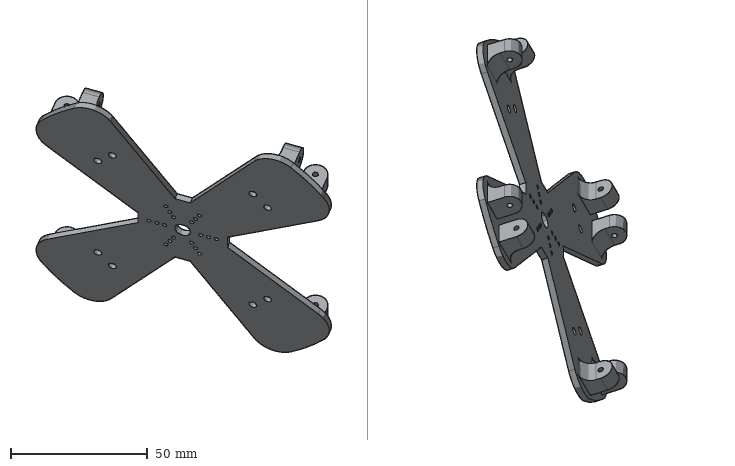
import cadquery as cq
import math

span = 113.4
plate_thickness = 2.5
hub_half_width = 17.4
hub_flat_half_length = 3.0
tip_corner_radius = 10.0
tip_corner_offset = 35.8
quarter_turns = [0, 90, 180, 270]
first_blade_angle = 45

bore_diameter = 6.0
pin_hole_diameter = 1.5
pin_hole_radii = [7.0, 10.0, 13.0]
pin_row_count = 6
blade_hole_diameter = 3.0
blade_hole_radius = 42.4
blade_hole_spacing = 8.0

total_depth = 14.0
lug_thickness = 6.5
lug_inner_face = 35.5
lug_axis_offset = 48.1
lug_round_radius = 4.5
lug_hole_diameter = 2.0
lug_fillet_radius = 5.0

cut_margin = 1.1
diagonal_share = math.sqrt(0.5)


def turned(body, angle):
    """Turn a body about the plate's centre axis, which is the Y axis."""
    return body.rotate((0, 0, 0), (0, 1, 0), angle)


def mirrored_across_diagonal(point):
    return (point[1], point[0])


def plate_quarter():
    """One blade with its quarter of the hub, in the +X +Z quadrant."""
    corner = (tip_corner_offset, span / 2 - tip_corner_radius)
    corner_distance = math.hypot(*corner)
    tip_radius = corner_distance + tip_corner_radius
    root = (hub_flat_half_length, hub_half_width)

    run = corner[0] - root[0]
    rise = corner[1] - root[1]
    side_angle = math.atan2(rise, run) + math.asin(tip_corner_radius / math.hypot(run, rise))
    normal_angle = side_angle + math.pi / 2

    def on_corner(angle):
        return (
            corner[0] + tip_corner_radius * math.cos(angle),
            corner[1] + tip_corner_radius * math.sin(angle),
        )

    tip_angle = math.atan2(corner[1], corner[0])
    side_end = on_corner(normal_angle)
    corner_middle = on_corner((normal_angle + tip_angle) / 2)
    corner_end = on_corner(tip_angle)
    tip_middle = (tip_radius * diagonal_share, tip_radius * diagonal_share)

    return (
        cq.Workplane("XZ")
        .moveTo(0, 0)
        .lineTo(0, hub_half_width)
        .lineTo(*root)
        .lineTo(*side_end)
        .threePointArc(corner_middle, corner_end)
        .threePointArc(tip_middle, mirrored_across_diagonal(corner_end))
        .threePointArc(mirrored_across_diagonal(corner_middle), mirrored_across_diagonal(side_end))
        .lineTo(*mirrored_across_diagonal(root))
        .lineTo(hub_half_width, 0)
        .close()
        .extrude(-plate_thickness)
    )


def plate_holes():
    """Cutting cylinders for the centre bore, pin hole rows and blade holes."""
    pin_step = 360 / pin_row_count
    pin_points = [
        (
            radius * math.cos(math.radians(row * pin_step)),
            radius * math.sin(math.radians(row * pin_step)),
        )
        for row in range(pin_row_count)
        for radius in pin_hole_radii
    ]
    blade_points = []
    for turn in quarter_turns:
        angle = math.radians(first_blade_angle + turn)
        cosine = math.cos(angle)
        sine = math.sin(angle)
        for side in (-blade_hole_spacing / 2, blade_hole_spacing / 2):
            blade_points.append(
                (blade_hole_radius * cosine - side * sine, blade_hole_radius * sine + side * cosine)
            )

    def drills(points, diameter):
        return (
            cq.Workplane("XZ", origin=(0, -cut_margin, 0))
            .pushPoints(points)
            .circle(diameter / 2)
            .extrude(-(plate_thickness + 2 * cut_margin))
        )

    bore = drills([(0, 0)], bore_diameter)
    return bore.add(drills(pin_points, pin_hole_diameter)).add(drills(blade_points, blade_hole_diameter))


def lug():
    """Round-ended lug in the +X +Z quadrant, facing X, with a fillet at its inner foot."""
    axis_y = total_depth - lug_round_radius
    lug_width = 2 * lug_round_radius

    foot_y = plate_thickness / 2
    tongue = (
        cq.Workplane("YZ", origin=(lug_inner_face, 0, lug_axis_offset))
        .moveTo(foot_y, -lug_round_radius)
        .lineTo(axis_y, -lug_round_radius)
        .threePointArc((total_depth, 0), (axis_y, lug_round_radius))
        .lineTo(foot_y, lug_round_radius)
        .close()
        .extrude(lug_thickness)
    )
    fillet_start = lug_inner_face - lug_fillet_radius
    fillet_top = plate_thickness + lug_fillet_radius
    arc_reach = lug_fillet_radius * diagonal_share
    foot = (
        cq.Workplane("XY", origin=(0, 0, lug_axis_offset - lug_round_radius))
        .moveTo(fillet_start, foot_y)
        .lineTo(fillet_start, plate_thickness)
        .threePointArc((fillet_start + arc_reach, fillet_top - arc_reach), (lug_inner_face, fillet_top))
        .lineTo(lug_inner_face, foot_y)
        .close()
        .extrude(lug_width)
    )
    hole = (
        cq.Workplane("YZ", origin=(lug_inner_face - cut_margin, 0, lug_axis_offset))
        .center(axis_y, 0)
        .circle(lug_hole_diameter / 2)
        .extrude(lug_thickness + 2 * cut_margin)
    )
    return tongue.union(foot).cut(hole)


plate = plate_quarter()
for turn in quarter_turns[1:]:
    plate = plate.union(turned(plate_quarter(), turn))
for cutter in plate_holes().vals():
    plate = plate.cut(cutter)

lug_facing_x = lug()
lug_facing_z = turned(lug_facing_x.mirror("YZ"), 90)
result = plate
for turn in quarter_turns:
    result = result.union(turned(lug_facing_x, turn))
    result = result.union(turned(lug_facing_z, turn))